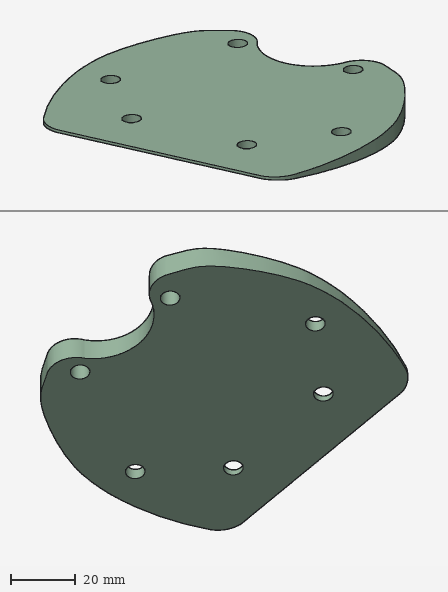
import cadquery as cq

width = 107.4
length = 89.8
thick_end = 8.9
thin_end = 1.0

half_width = width / 2
half_length = length / 2

base_half = 36.9
corner_mid = (42.1, -42.7)
corner_end = (45.0, -39.3)
lower_side_mid = (50.8, -23.8)
widest_point = (half_width, -4.8)
shoulder_points = [(52.4, 9.2), (48.6, 20.0), (43.9, 29.1), (37.5, 37.9)]
lobe_start = (27.2, 44.2)
widest_direction = (0, 1)
lobe_direction = (-2, 1)
lobe_top = (23.5, half_length)
notch_radius = 18.3
notch_bottom = 30.9
notch_edge = (15.5, 39.5)

hole_diameter = 6.0
inner_hole_x = 20.7
outer_hole_x = 2 * inner_hole_x
hole_positions = [(inner_hole_x, 36.6), (outer_hole_x, -4.9), (inner_hole_x, -27.0)]


def half_plate():
    """Right half of the outline, extruded to the full thickness."""
    return (
        cq.Workplane("XY")
        .workplane(offset=-thick_end / 2)
        .moveTo(0, -half_length)
        .lineTo(base_half, -half_length)
        .threePointArc(corner_mid, corner_end)
        .threePointArc(lower_side_mid, widest_point)
        .spline(
            shoulder_points + [lobe_start],
            tangents=[widest_direction, lobe_direction],
            includeCurrent=True,
        )
        .threePointArc(lobe_top, notch_edge)
        .radiusArc((0, notch_bottom), notch_radius)
        .close()
        .extrude(thick_end)
    )


def wedge():
    """Symmetric taper, thick at +Y and thin at -Y."""
    return (
        cq.Workplane("YZ")
        .polyline([
            (-half_length, -thin_end / 2),
            (half_length, -thick_end / 2),
            (half_length, thick_end / 2),
            (-half_length, thin_end / 2),
        ])
        .close()
        .extrude(half_width, both=True)
    )


def hole_cutters():
    """Vertical cylinders for all six through holes."""
    both_sides = [(side * x, y) for x, y in hole_positions for side in (-1, 1)]
    return (
        cq.Workplane("XY")
        .workplane(offset=-thick_end / 2)
        .pushPoints(both_sides)
        .circle(hole_diameter / 2)
        .extrude(thick_end)
    )


right_half = half_plate()
plate = right_half.union(right_half.mirror("YZ")).clean()
result = plate.intersect(wedge()).cut(hole_cutters())